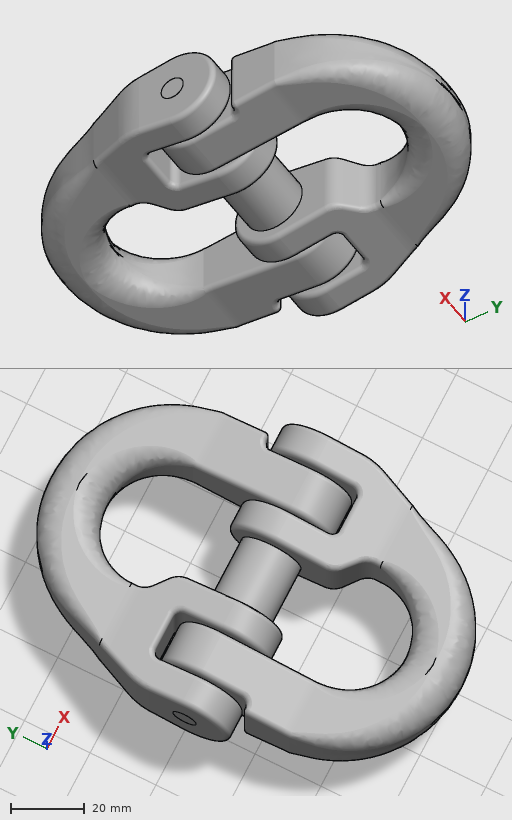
import cadquery as cq
import math


width = 85.8
length = 126.0

bow_thickness = 17.1
bow_height = 17.1
bow_outer_radius = 35.4
bow_inner_radius = bow_outer_radius - bow_thickness
bow_center_x = 1.0
bow_center_y = length / 2 - bow_outer_radius
bow_start_y = 29.0
apex_rounding = 8.5
outer_rounding_power = 1.3
inner_rounding_power = 1.2
bow_step_angle = 15

edge_radius = 1.5

fork_outer_x = -width / 2
fork_inner_x = -9.6
fork_eye_radius = 12.5
fork_eye_y = -0.9
fork_blend_reach = 1.5
slot_outer_x = -33.5
slot_inner_x = -18.9
slot_end_y = 14.5
slot_corner_radius = 2.3
flank_tilt = math.radians(22.7)
flank_end_y = 18.0
arm_start_y = 10.6
shoulder_start_y = 15.9
shoulder_radius = 5.9
shoulder_turn = math.radians(50)

below_eye_y = -15.1

tongue_inner_x = 19.4
tongue_outer_x = 32.8
tongue_root_x = 36.8
tongue_eye_radius = 11.6
tongue_eye_y = -1.4
tongue_blend_reach = 1.1

pin_diameter = 7.0
sleeve_diameter = 18.0
sleeve_length = 18.1


def flank_x(y):
    """X of the straight outer flank, which is tangent to the outer circle of the bow."""
    across = bow_outer_radius / math.cos(flank_tilt)
    return bow_center_x - across + (y - bow_center_y) * math.tan(flank_tilt)


def hole_x(y):
    """X of the fork side of the round hole inside the bow."""
    return bow_center_x - math.sqrt(bow_inner_radius**2 - (y - bow_center_y) ** 2)


def bow_point(radius, angle):
    return cq.Vector(
        bow_center_x + radius * math.cos(angle),
        bow_center_y + radius * math.sin(angle),
    )


def bow_section(inner, outer, inner_rounding=edge_radius, outer_rounding=edge_radius):
    """Upright rounded rectangle that spans the bow from an inner to an outer point."""
    def inner_corners_first(wire):
        return sorted(wire.Vertices(), key=lambda vertex: (vertex.Center() - inner).Length)

    span = outer - inner
    plane = cq.Plane(origin=(inner + outer) * 0.5, xDir=span, normal=span.cross(cq.Vector(0, 0, 1)))
    outline = cq.Workplane(plane).rect(span.Length, bow_height).val()
    outline = outline.fillet2D(inner_rounding, inner_corners_first(outline)[:2])
    return outline.fillet2D(outer_rounding, inner_corners_first(outline)[-2:])


def rounding(degrees, power):
    """Corner radius at an angle round the bow: small at its ends, almost a full round at the apex."""
    from_apex = abs(degrees - 90) / 90
    return edge_radius + (apex_rounding - edge_radius) * (1 - from_apex**power)


def radial_section(degrees):
    """Bow section at an angle round the bow."""
    angle = math.radians(degrees)
    past_flank = max(0, angle - (math.pi - flank_tilt))
    outer_radius = bow_outer_radius / math.cos(past_flank)
    return bow_section(
        bow_point(bow_inner_radius, angle),
        bow_point(outer_radius, angle),
        rounding(degrees, inner_rounding_power),
        rounding(degrees, outer_rounding_power),
    )


def make_bow():
    def end_section(inner_x, outer_x):
        return bow_section(cq.Vector(inner_x, bow_start_y), cq.Vector(outer_x, bow_start_y))

    tongue_end = end_section(tongue_inner_x, tongue_root_x)
    fork_end = end_section(hole_x(bow_start_y), flank_x(bow_start_y))
    middle = [radial_section(degrees) for degrees in range(bow_step_angle, 180, bow_step_angle)]
    return cq.Workplane(cq.Solid.makeLoft([tongue_end, *middle, fork_end]))


def tapered_bar(eye_radius, eye_y, blend_reach):
    """Wide bar along X: a round eye that tapers to the height of the bow."""
    half_height = bow_height / 2
    taper_foot_y = bow_start_y - blend_reach
    foot_distance = math.hypot(taper_foot_y - eye_y, half_height)
    foot_angle = math.atan2(half_height, taper_foot_y - eye_y)
    tangent_angle = foot_angle + math.acos(eye_radius / foot_distance)
    slope = tangent_angle - math.pi / 2

    def eye_point(angle):
        return (eye_y + eye_radius * math.cos(angle), eye_radius * math.sin(angle))

    blend_start = (
        taper_foot_y - blend_reach * math.cos(slope),
        half_height - blend_reach * math.sin(slope),
    )
    upper_half = (
        cq.Workplane("YZ", origin=(-width, 0, 0))
        .moveTo(*eye_point(math.pi))
        .threePointArc(eye_point((math.pi + tangent_angle) / 2), eye_point(tangent_angle))
        .lineTo(*blend_start)
        .tangentArcPoint((bow_start_y, half_height), relative=False)
        .lineTo(bow_start_y, 0)
        .close()
        .extrude(2 * width)
    )
    return upper_half.union(upper_half.mirror("XY"))


def block(x_min, x_max, y_min, y_max):
    """Block that is taller than the link."""
    size_x = x_max - x_min
    size_y = y_max - y_min
    center = ((x_min + x_max) / 2, (y_min + y_max) / 2, 0)
    return cq.Workplane().box(size_x, size_y, width).translate(center)


def round_long_edges(part):
    """Round the upper and lower rims, but not the edges across the bar."""
    return part.edges("not(|X or |Z)").fillet(edge_radius)


def make_fork():
    shoulder_end = (
        fork_inner_x - shoulder_radius * (1 - math.cos(shoulder_turn)),
        shoulder_start_y + shoulder_radius * math.sin(shoulder_turn),
    )
    corner_x = bow_center_x - bow_inner_radius
    corner_y = shoulder_end[1] + (shoulder_end[0] - corner_x) / math.tan(shoulder_turn)
    corner_reach = bow_center_y - corner_y
    concave_start = (
        corner_x + corner_reach * math.sin(shoulder_turn),
        corner_y - corner_reach * math.cos(shoulder_turn),
    )
    half_rise_y = (bow_center_y + bow_start_y) / 2
    outline = (
        cq.Workplane(origin=(0, 0, -width / 2))
        .moveTo(flank_x(bow_start_y), bow_start_y)
        .lineTo(flank_x(flank_end_y), flank_end_y)
        .tangentArcPoint((fork_outer_x, arm_start_y), relative=False)
        .lineTo(fork_outer_x, below_eye_y)
        .lineTo(fork_inner_x, below_eye_y)
        .lineTo(fork_inner_x, shoulder_start_y)
        .tangentArcPoint(shoulder_end, relative=False)
        .lineTo(*concave_start)
        .tangentArcPoint((corner_x, bow_center_y), relative=False)
        .threePointArc((hole_x(half_rise_y), half_rise_y), (hole_x(bow_start_y), bow_start_y))
        .close()
        .extrude(width)
    )
    slot = (
        block(slot_outer_x, slot_inner_x, below_eye_y, slot_end_y)
        .edges("|Z and >Y")
        .fillet(slot_corner_radius)
    )
    fork = tapered_bar(fork_eye_radius, fork_eye_y, fork_blend_reach).intersect(outline).cut(slot)
    return round_long_edges(fork)


def make_tongue():
    outline = block(tongue_inner_x, tongue_root_x, below_eye_y, bow_start_y)
    notch = (
        block(tongue_outer_x, width, below_eye_y, slot_end_y)
        .edges("|Z and >Y and <X")
        .fillet(slot_corner_radius)
    )
    notch_corner = cq.selectors.NearestToPointSelector((tongue_root_x, slot_end_y, 0))
    outline = outline.cut(notch).edges("|Z").edges(notch_corner).fillet(edge_radius)
    bar = tapered_bar(tongue_eye_radius, tongue_eye_y, tongue_blend_reach)
    return round_long_edges(bar.intersect(outline))


def crosswise_cylinder(diameter, full_length):
    """Cylinder along X, centred on the origin."""
    return cq.Workplane("YZ", origin=(-full_length / 2, 0, 0)).circle(diameter / 2).extrude(full_length)


def make_half_link():
    link = make_bow().union(make_fork()).union(make_tongue())
    return link.cut(crosswise_cylinder(pin_diameter, 2 * width))


def make_sleeve():
    bore = crosswise_cylinder(pin_diameter, 2 * width)
    return crosswise_cylinder(sleeve_diameter, sleeve_length).cut(bore)


half_link = make_half_link()
half_links = [half_link.rotate((0, 0, 0), (0, 0, 1), turn) for turn in (0, 180)]
sleeve = make_sleeve()
pin = crosswise_cylinder(pin_diameter, width)

result = cq.Compound.makeCompound([*[link.val() for link in half_links], sleeve.val(), pin.val()])